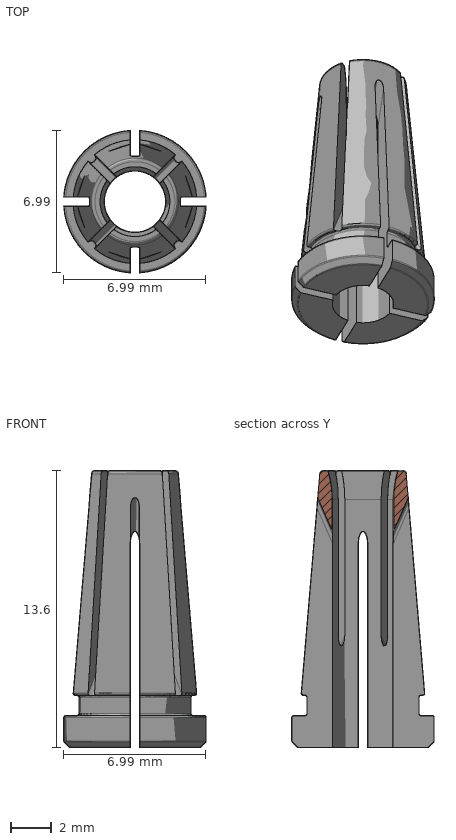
import cadquery as cq
import math

height = 13.6
bore_radius = 3.0 / 2

flange_radius = 7.0 / 2
flange_top = 1.58
flange_chamfer = 0.3
small_round = 0.1

neck_radius = 2.76

cone_bottom = 2.57
cone_bottom_radius = 3.05
cone_top_radius = 2.12
cone_top_round = 0.18

mouth_radius = 1.71
mouth_depth = 1.41

slot_width = 0.45
slots_per_end = 4
slot_clearance = 0.14
foot_slot_outer_end = 12.27
foot_slot_inner_end = 10.61
top_slot_outer_radius = 2.8
top_slot_inner_end = 5.0


def make_body():
    """Revolved outside: chamfered flange, neck and cone, with rounded edges."""
    flange = (
        cq.Workplane("XY")
        .circle(flange_radius)
        .extrude(flange_top)
        .faces("<Z")
        .chamfer(flange_chamfer)
        .edges("%CIRCLE")
        .fillet(small_round)
    )
    neck = cq.Workplane("XY").circle(neck_radius).extrude(cone_bottom)
    cone = (
        cq.Workplane("XZ")
        .moveTo(0, cone_bottom)
        .lineTo(cone_bottom_radius, cone_bottom)
        .lineTo(cone_top_radius, height)
        .lineTo(0, height)
        .close()
        .revolve(360, (0, 0, 0), (0, 1, 0))
        .faces("<Z")
        .edges()
        .fillet(small_round)
        .faces(">Z")
        .edges()
        .fillet(cone_top_round)
    )
    body = flange.union(neck).union(cone)
    neck_corners = cq.selectors.BoxSelector(
        (-neck_radius - small_round, -neck_radius - small_round, flange_top - small_round),
        (neck_radius + small_round, neck_radius + small_round, cone_bottom + small_round),
        boundingbox=True,
    )
    return body.edges("%CIRCLE").edges(neck_corners).fillet(small_round)


def make_bore():
    """Through bore whose mouth flares along an arc tangent to the bore wall."""
    flare = mouth_radius - bore_radius
    flare_arc_radius = (flare**2 + mouth_depth**2) / (2 * flare)
    half_angle = math.asin(mouth_depth / flare_arc_radius) / 2
    arc_middle = (
        bore_radius + flare_arc_radius * (1 - math.cos(half_angle)),
        height - mouth_depth + flare_arc_radius * math.sin(half_angle),
    )
    return (
        cq.Workplane("XZ")
        .lineTo(bore_radius, 0)
        .lineTo(bore_radius, height - mouth_depth)
        .threePointArc(arc_middle, (mouth_radius, height))
        .lineTo(0, height)
        .close()
        .revolve(360, (0, 0, 0), (0, 1, 0))
    )


def make_slot(inner_end, outer_radius, outer_end, open_end, reach):
    """One slot along +X with a sloping end that is rounded across.

    The crest of the end passes through inner_end at the bore wall and outer_end at outer_radius.
    """
    slope = (outer_end - inner_end) / (outer_radius - bore_radius)
    end_at_axis = inner_end - slope * bore_radius
    end_at_reach = end_at_axis + slope * reach
    toward_open = math.copysign(1, open_end - inner_end)
    axis_shift = toward_open * slot_width / 2 * math.hypot(1, slope)
    start = cq.Vector(0, 0, end_at_axis + axis_shift)
    finish = cq.Vector(reach, 0, end_at_reach + axis_shift)
    direction = finish - start
    rounded_end = cq.Workplane(cq.Solid.makeCylinder(slot_width / 2, direction.Length, start, direction))
    straight = (
        cq.Workplane("XZ")
        .polyline([(0, start.z), (reach, finish.z), (reach, open_end), (0, open_end)])
        .close()
        .extrude(slot_width / 2, both=True)
    )
    return straight.union(rounded_end)


slot_pitch = 360 / slots_per_end
cone_slope = (cone_top_radius - cone_bottom_radius) / (height - cone_bottom)
foot_slot_outer_radius = cone_bottom_radius + cone_slope * (foot_slot_outer_end - cone_bottom)
foot_slot = make_slot(
    inner_end=foot_slot_inner_end,
    outer_radius=foot_slot_outer_radius,
    outer_end=foot_slot_outer_end,
    open_end=-slot_clearance,
    reach=flange_radius + slot_clearance,
)
top_slot = make_slot(
    inner_end=top_slot_inner_end,
    outer_radius=top_slot_outer_radius,
    outer_end=cone_bottom,
    open_end=height + slot_clearance,
    reach=cone_bottom_radius + slot_clearance,
)

result = make_body().cut(make_bore())
for index in range(slots_per_end):
    angle = index * slot_pitch
    result = result.cut(foot_slot.rotate((0, 0, 0), (0, 0, 1), angle))
    result = result.cut(top_slot.rotate((0, 0, 0), (0, 0, 1), angle + slot_pitch / 2))